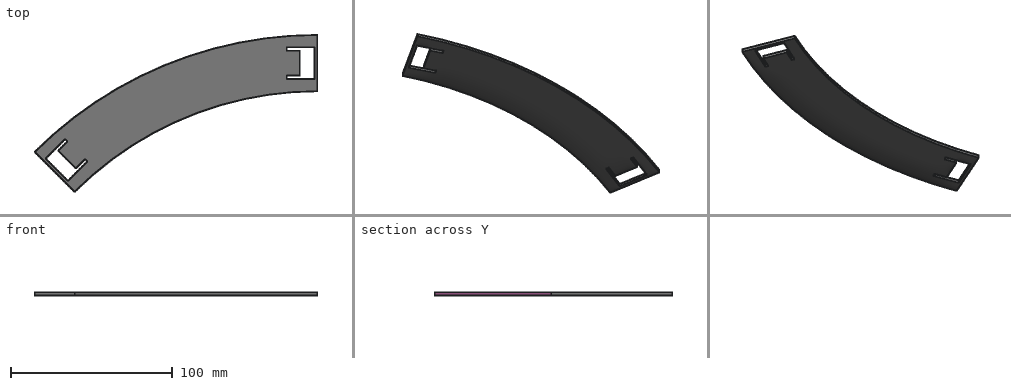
import cadquery as cq
import math

length_x = 175.0
sweep_angle = 45.0
band_width = 35.0
thickness = 2.1

end_rim = 2.0
cutout_depth = 17.0
cutout_width = 19.5
slot_width = 2.0
tab_gap = 9.0
tab_width = cutout_width - 2 * slot_width
tab_length = cutout_depth - tab_gap

outer_radius = length_x / math.sin(math.radians(sweep_angle))
inner_radius = outer_radius - band_width
middle_radius = (outer_radius + inner_radius) / 2


def point_on_arc(radius, angle):
    """Point at an angle in degrees turned from +Y towards -X."""
    turn = math.radians(angle)
    return (-radius * math.sin(turn), radius * math.cos(turn))


def make_band():
    half_sweep = sweep_angle / 2
    return (
        cq.Workplane("XY")
        .moveTo(*point_on_arc(outer_radius, 0))
        .threePointArc(point_on_arc(outer_radius, half_sweep), point_on_arc(outer_radius, sweep_angle))
        .lineTo(*point_on_arc(inner_radius, sweep_angle))
        .threePointArc(point_on_arc(inner_radius, half_sweep), point_on_arc(inner_radius, 0))
        .close()
        .extrude(thickness)
    )


def make_end_cutout():
    """U-shaped cutter for the end on the +Y axis."""
    cutout_back = -end_rim - cutout_depth
    window = (
        cq.Workplane("XY")
        .center(cutout_back + cutout_depth / 2, middle_radius)
        .rect(cutout_depth, cutout_width)
        .extrude(thickness)
    )
    tab = (
        cq.Workplane("XY")
        .center(cutout_back + tab_length / 2, middle_radius)
        .rect(tab_length, tab_width)
        .extrude(thickness)
    )
    return window.cut(tab)


near_cutout = make_end_cutout()
far_cutout = near_cutout.mirror("YZ").rotate((0, 0, 0), (0, 0, 1), sweep_angle)

result = make_band().cut(near_cutout).cut(far_cutout)